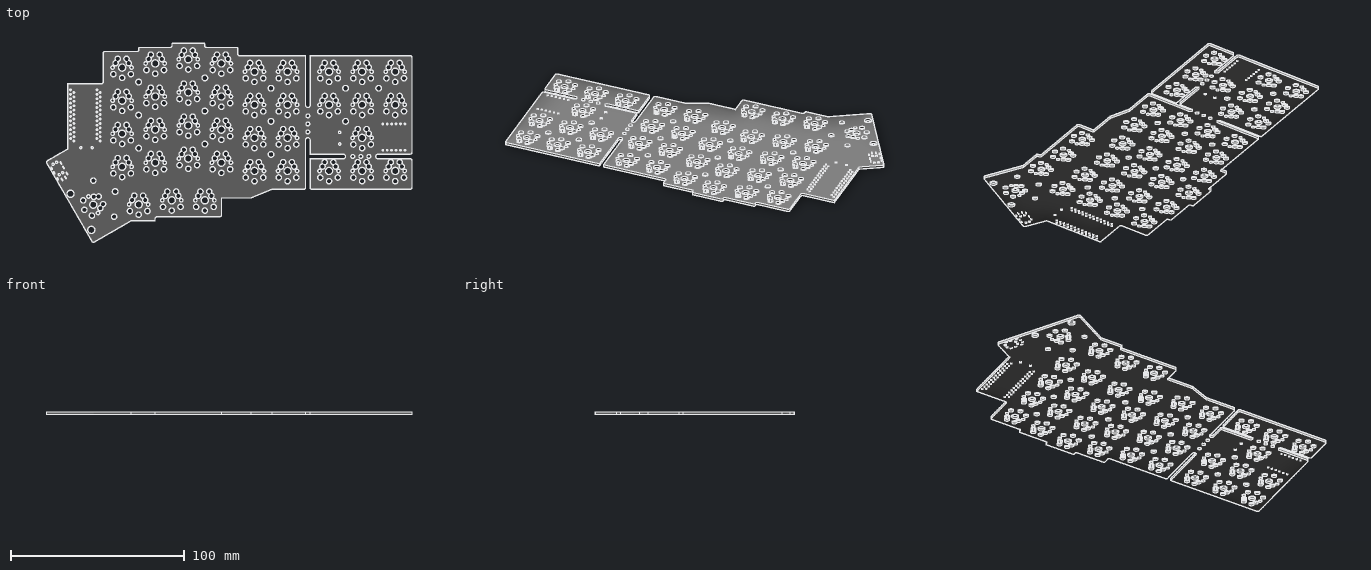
import cadquery as cq
import math

length = 210.5
depth = 114.7
thickness = 1.6

pitch = 76.2 / 4
half_cell = pitch / 2
stagger = pitch / 8
row_count = 4
first_column_x = 43.5
column_lift = [1, 2, 3, 2, 0, 0]
stepped_edges = 4
side_column_x = 162.8
side_column_rows = [(0, 1, 3), (0, 1, 2, 3), (0, 1, 3)]
key_offset = 0.2
flat_top_y = depth - max(column_lift) * stagger
top_row_y = flat_top_y - half_cell + key_offset

thumb_row_y = 24.2
thumb_drop = [1, 0, 0]
slant = 30
turned_key = (27.0, 21.7)
turned_key_angle = slant - 90

switch_centre_d = 4.0
switch_pin_d = 3.0
switch_peg_d = 2.0
inner_pins = [(-2.5, 5.0), (2.5, 5.0)]
outer_pins = [(-3.8, 2.5), (3.8, 2.5)]
lower_pins = [(-5.0, -3.8), (0, -6.0), (5.0, -3.8)]
pegs = [(-5.5, 0), (5.5, 0)]

stabiliser_x = 12.0
stabiliser_large_y = -8.2
stabiliser_small_y = 7.0

screw_d = 3.2
lone_screw = (39.5, 29.3)

left_tab_x = 12.2
left_tab_top_y = 91.4
keys_left_x = 32.6
thumb_right_x = 100.9
thumb_shelf_y = 25.5
slope_left_x = 117.7
slope_right_x = 130.0
bottom_y = 30.5
left_tip_y = 46.5
corner_r = 1.0
step_r = 0.6

slot_width = 2.5
slot_x = 150.5
slot_y = 49.5
bridge_low_y = 60.2
bridge_high_y = 77.7
bridge_left_x = 172.2
bridge_right_x = 189.7
perforation_d = 2.1
perforation_step = 4.6
perforation_mid_x = 181.0
perforation_mid_y = 68.2

header_d = 0.82
header_pitch = 25.5 / 10
header_row_gap = 15.2
controller_pins = 12
controller_header = (14.0, 59.8)
controller_shift = (2.0, -1.5)
display_pins = 6
display_header = (193.7, 53.0)

button_d = 1.2
side_button_d = 1.3
button_holes = [(19.8, 54.5), (26.3, 54.5)]
side_button_holes = [(168.9, 56.6), (168.9, 63.4)]

jack_origin = (0.5, 47.2)
jack_angle = slant - 90
jack_peg_d = 1.2
jack_slot_length = 1.5
jack_slot_width = 0.25
jack_peg_along = [3.5, 10.5]
jack_slots_along = [5.3, 8.2, 12.2]
jack_last_slot_along = 13.7
jack_outer_across = [0.0, 6.1]
jack_inner_across = [2.0, 4.2]


def turn_and_move(point, centre, angle):
    """Turn a local point by an angle in degrees and move it to a centre."""
    c = math.cos(math.radians(angle))
    s = math.sin(math.radians(angle))
    x, y = point
    return (centre[0] + x * c - y * s, centre[1] + x * s + y * c)


def step_towards(start, end, distance):
    """Point at a distance from start on the way to end."""
    share = distance / math.dist(start, end)
    return (start[0] + (end[0] - start[0]) * share, start[1] + (end[1] - start[1]) * share)


def rounded_outline(corners):
    """Closed outline from (x, y, radius) corners; radius 0 keeps a corner sharp."""
    path = cq.Workplane("XY").moveTo(*corners[0][:2])
    for i in range(1, len(corners)):
        before = corners[i - 1][:2]
        corner = corners[i][:2]
        radius = corners[i][2]
        after = corners[(i + 1) % len(corners)][:2]
        if radius == 0:
            path = path.lineTo(*corner)
            continue
        heading_in = math.atan2(corner[1] - before[1], corner[0] - before[0])
        heading_out = math.atan2(after[1] - corner[1], after[0] - corner[0])
        turn = abs(math.remainder(heading_out - heading_in, 2 * math.pi))
        setback = radius * math.tan(turn / 2)
        path = path.lineTo(*step_towards(corner, before, setback))
        path = path.tangentArcPoint(step_towards(corner, after, setback), relative=False)
    return path.close()


def board():
    """Plate with the stepped key-column edge and the slanted thumb corner."""
    slope = math.tan(math.radians(slant))
    tip_loss = corner_r * (math.cos(math.radians(slant)) + math.sin(math.radians(slant)) - 1)
    thumb_bottom_y = thumb_row_y - half_cell
    thumb_low_y = thumb_bottom_y - stagger
    thumb_step_x = first_column_x + pitch
    left_tip = (-tip_loss, left_tip_y)
    low_tip_y = -tip_loss
    low_tip_x = left_tip[0] + (left_tip[1] - low_tip_y) * slope
    low_edge_end_x = low_tip_x + (thumb_low_y - low_tip_y) / slope
    tab_low_y = left_tip[1] + (left_tab_x - left_tip[0]) * slope
    column_edge = [first_column_x + half_cell + i * pitch for i in range(stepped_edges)]
    column_top = [flat_top_y + lift * stagger for lift in column_lift]

    corners = [
        (left_tab_x, tab_low_y, 0),
        (left_tab_x, left_tab_top_y, 0),
        (keys_left_x, left_tab_top_y, corner_r),
        (keys_left_x, column_top[0], corner_r),
    ]
    for i, x in enumerate(column_edge):
        corners.append((x, column_top[i], step_r))
        corners.append((x, column_top[i + 1], step_r))
    corners += [
        (length, flat_top_y, corner_r),
        (length, bottom_y, corner_r),
        (slope_right_x, bottom_y, 0),
        (slope_left_x, thumb_shelf_y, 0),
        (thumb_right_x, thumb_shelf_y, 0),
        (thumb_right_x, thumb_bottom_y, corner_r),
        (thumb_step_x, thumb_bottom_y, corner_r),
        (thumb_step_x, thumb_low_y, 0),
        (low_edge_end_x, thumb_low_y, 0),
        (low_tip_x, low_tip_y, corner_r),
        (*left_tip, corner_r),
    ]
    return rounded_outline(corners).extrude(thickness)


def round_ended_slot(start, end):
    """Cutter for a break-off slot that runs from an open start to a round end."""
    inner = step_towards(end, start, slot_width / 2)
    span = math.dist(start, inner)
    angle = math.degrees(math.atan2(inner[1] - start[1], inner[0] - start[0]))
    middle = ((start[0] + inner[0]) / 2, (start[1] + inner[1]) / 2)
    straight = (
        cq.Workplane("XY")
        .rect(span, slot_width)
        .extrude(thickness)
        .rotate((0, 0, 0), (0, 0, 1), angle)
        .translate((*middle, 0))
    )
    tip = cq.Workplane("XY").center(*inner).circle(slot_width / 2).extrude(thickness)
    return straight.union(tip)


def cut_slots(body):
    """Separate the right-hand blocks, leaving two narrow bridges."""
    slots = [
        ((slot_x, depth), (slot_x, bridge_high_y)),
        ((slot_x, 0), (slot_x, bridge_low_y)),
        ((slot_x, slot_y), (bridge_left_x, slot_y)),
        ((length, slot_y), (bridge_right_x, slot_y)),
    ]
    for start, end in slots:
        body = body.cut(round_ended_slot(start, end))
    for x, y in [(length, slot_y), (slot_x, bottom_y)]:
        low = (x - slot_width, y - slot_width, -thickness)
        high = (x + slot_width, y + slot_width, 2 * thickness)
        mouth = cq.selectors.BoxSelector(low, high)
        body = body.edges("|Z").edges(mouth).fillet(corner_r)
    return body


def drill(body, points, diameter):
    """Drill through holes of one diameter."""
    return body.cut(cq.Workplane("XY").pushPoints(points).circle(diameter / 2).extrude(thickness))


def key_places():
    """Centre and angle of every key."""
    places = []
    for i, lift in enumerate(column_lift):
        for row in range(row_count):
            y = top_row_y + lift * stagger - row * pitch
            places.append(((first_column_x + i * pitch, y), 0))
    for i, rows in enumerate(side_column_rows):
        for row in rows:
            places.append(((side_column_x + i * pitch, top_row_y - row * pitch), 0))
    for i, drop in enumerate(thumb_drop):
        x = first_column_x + half_cell + i * pitch
        places.append(((x, thumb_row_y - drop * stagger), 0))
    places.append((turned_key, turned_key_angle))
    return places


def drill_keys(body):
    """Switch holes of all keys and the stabiliser of the turned key."""
    hole_kinds = [
        ([(0, 0)], switch_centre_d),
        (inner_pins, switch_pin_d),
        (outer_pins, switch_pin_d),
        (lower_pins, switch_pin_d),
        (pegs, switch_peg_d),
    ]
    places = key_places()
    for local_points, diameter in hole_kinds:
        points = [turn_and_move(p, centre, angle) for centre, angle in places for p in local_points]
        body = drill(body, points, diameter)
    for y, diameter in [(stabiliser_large_y, switch_centre_d), (stabiliser_small_y, switch_pin_d)]:
        ends = [(-stabiliser_x, y), (stabiliser_x, y)]
        points = [turn_and_move(p, turned_key, turned_key_angle) for p in ends]
        body = drill(body, points, diameter)
    return body


def drill_screws(body):
    """Mounting holes centred between four neighbouring keys."""
    points = [lone_screw]
    for i in (0, 2, 4):
        lift = (column_lift[i] + column_lift[i + 1]) / 2
        x = first_column_x + half_cell + i * pitch
        for row in range(row_count - 1):
            points.append((x, top_row_y + lift * stagger - half_cell - row * pitch))
    for column, row in [(0, 0), (1, 0), (0, 1)]:
        x = side_column_x + half_cell + column * pitch
        points.append((x, top_row_y - half_cell - row * pitch))
    return drill(body, points, screw_d)


def drill_bridges(body):
    """Perforation holes across the two bridges."""
    offsets = [-perforation_step, 0, perforation_step]
    points = [(slot_x, perforation_mid_y + d) for d in offsets]
    points += [(perforation_mid_x + d, slot_y) for d in offsets]
    return drill(body, points, perforation_d)


def drill_headers(body):
    """Controller rows along Y, in two offset pairs, and two display rows along X."""
    points = []
    for shift_x, shift_y in [(0, 0), controller_shift]:
        for row_x in (0, header_row_gap):
            x = controller_header[0] + shift_x + row_x
            y = controller_header[1] + shift_y
            points += [(x, y + i * header_pitch) for i in range(controller_pins)]
    for row_y in (0, header_row_gap):
        y = display_header[1] + row_y
        points += [(display_header[0] + i * header_pitch, y) for i in range(display_pins)]
    return drill(body, points, header_d)


def cut_jack(body):
    """Locating holes and solder slots of the audio jack."""
    pegs_at = [(u, v) for u in jack_peg_along for v in jack_inner_across]
    body = drill(body, [turn_and_move(p, jack_origin, jack_angle) for p in pegs_at], jack_peg_d)
    slots_at = [(u, v) for u in jack_slots_along for v in jack_outer_across]
    slots_at += [(jack_last_slot_along, v) for v in jack_inner_across]
    points = [turn_and_move(p, jack_origin, jack_angle) for p in slots_at]
    slots = cq.Workplane("XY").pushPoints(points).slot2D(jack_slot_length, jack_slot_width, jack_angle)
    return body.cut(slots.extrude(thickness))


result = cut_slots(board())
result = drill_keys(result)
result = drill_screws(result)
result = drill_bridges(result)
result = drill_headers(result)
result = drill(result, button_holes, button_d)
result = drill(result, side_button_holes, side_button_d)
result = cut_jack(result)